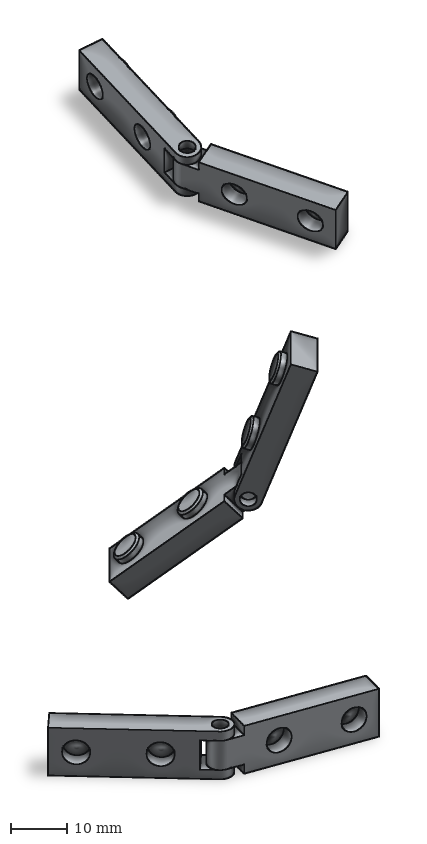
import cadquery as cq
import math

overall_length = 58.15
fold_angle = 30.0
leaf_height = 10.0
leaf_thickness = 5.0
pin_hole_diameter = 3.0
tongue_height = 6.1
shoulder_distance = 3.5

stud_pitch = 15.0
stud_end_margin = 5.0
shank_diameter = 5.0
shank_length = 2.0
point_angle = 118.0
head_diameter = 6.0
head_height = 1.5
head_chamfer_width = 0.5
head_chamfer_depth = 0.35

knuckle_radius = leaf_thickness / 2
fold = math.radians(fold_angle)
leaf_length = (overall_length - knuckle_radius * math.sin(fold)) / (1 + math.cos(fold))
outer_stud = leaf_length - stud_end_margin
stud_positions = [outer_stud - stud_pitch, outer_stud]
shank_radius = shank_diameter / 2
head_radius = head_diameter / 2
point_height = shank_radius / math.tan(math.radians(point_angle / 2))



def leaf_blank():
    """Bar with a rounded knuckle, a pin hole and through holes for the studs."""
    blank = (
        cq.Workplane("XY")
        .moveTo(0, knuckle_radius)
        .lineTo(leaf_length, knuckle_radius)
        .lineTo(leaf_length, -knuckle_radius)
        .lineTo(0, -knuckle_radius)
        .threePointArc((-knuckle_radius, 0), (0, knuckle_radius))
        .close()
        .extrude(leaf_height / 2, both=True)
    )
    pin_hole = cq.Workplane("XY").circle(pin_hole_diameter / 2).extrude(leaf_height / 2, both=True)
    stud_holes = (
        cq.Workplane("XZ")
        .pushPoints([(x, 0) for x in stud_positions])
        .circle(shank_radius)
        .extrude(leaf_thickness / 2, both=True)
    )
    return blank.cut(pin_hole).cut(stud_holes)


def knuckle_block(height):
    """Block of the given height that spans the knuckle up to the shoulders."""
    length = knuckle_radius + shoulder_distance
    center_x = (shoulder_distance - knuckle_radius) / 2
    return cq.Workplane("XY").box(length, leaf_thickness, height).translate((center_x, 0, 0))


def make_tongue_leaf():
    """Leaf with the knuckle narrowed to a central tongue."""
    side_clearance = knuckle_block(leaf_height).cut(knuckle_block(tongue_height))
    return leaf_blank().cut(side_clearance)


def make_fork_leaf():
    """Leaf with a central slot that receives the tongue."""
    return leaf_blank().cut(knuckle_block(tongue_height))


def make_stud(x):
    """Round-headed stud with a pointed shank, seated on the +Y face at x."""
    seat_y = knuckle_radius
    shank_end_y = seat_y - shank_length
    head_top_y = seat_y + head_height
    return (
        cq.Workplane("XY")
        .moveTo(0, shank_end_y - point_height)
        .lineTo(shank_radius, shank_end_y)
        .lineTo(shank_radius, seat_y)
        .lineTo(head_radius, seat_y)
        .lineTo(head_radius, head_top_y - head_chamfer_depth)
        .lineTo(head_radius - head_chamfer_width, head_top_y)
        .lineTo(0, head_top_y)
        .close()
        .revolve(360, (0, 0, 0), (0, 1, 0))
        .translate((x, 0, 0))
    )


def swing_to_fork_side(body):
    """Mirror a body to the -X side and swing it about the pin axis."""
    return body.mirror("YZ").rotate((0, 0, 0), (0, 0, 1), -fold_angle)


tongue_leaf = make_tongue_leaf()
fork_leaf = swing_to_fork_side(make_fork_leaf())

studs = []
for position in stud_positions:
    stud = make_stud(position)
    studs.append(stud.val())
    studs.append(swing_to_fork_side(stud).val())

result = cq.Compound.makeCompound([tongue_leaf.val(), fork_leaf.val(), *studs])